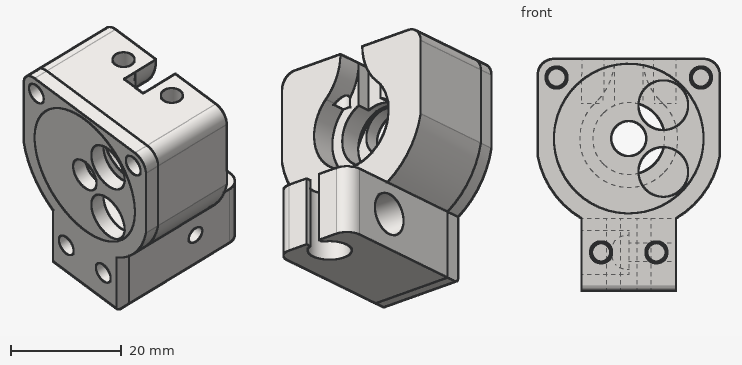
import cadquery as cq
import math

height = 42.0
body_width = 33.0
body_depth = 19.75
total_depth = 30.5
cover_thickness = 3.0
corner_radius = 3.0

axis_z = 27.55
body_radius = 16.8
clip_width = 17.18
clip_height = axis_z - math.sqrt(body_radius**2 - (clip_width / 2) ** 2)

disc_diameter = 27.1
shaft_hole_diameter = 6.3
port_diameter = 9.0
port_x = 6.25
port_offset_z = 6.05

pocket_diameter = disc_diameter
pocket_floor_y = 10.2
middle_bore_diameter = 13.0
rear_bore_radius = 8.85
rear_bore_depth = 5.1
slot_width = 5.15
slot_depth = 7.85

top_hole_diameter = 4.0
top_hole_x = 6.5
top_hole_rear_distance = 4.4
top_hole_depth = 8.15

screw_clearance_diameter = 4.0
screw_hole_diameter = 3.3
screw_hole_depth = 10.0
upper_screw_x = 13.05
upper_screw_z = 38.6
lower_screw_x = 5.0
lower_screw_z = 6.97
screw_points = [
    (-upper_screw_x, upper_screw_z),
    (upper_screw_x, upper_screw_z),
    (-lower_screw_x, lower_screw_z),
    (lower_screw_x, lower_screw_z),
]

rod_diameter = 8.0
rod_y = 25.75
clip_slit_width = 2.9
bolt_diameter = 3.3
bolt_recess_diameter = 8.0
bolt_recess_floor_x = 0.0
bolt_y = 19.25
bolt_z = lower_screw_z
bottom_edge_radius = 0.92


def front_plane(y):
    """Workplane at depth y with X to the right, Z up and extrusion toward -Y."""
    return cq.Workplane("XZ", origin=(0, y, 0))


def cylinder_y(diameter, points, y_start, y_end):
    """Cylinders along Y at the given (x, z) points."""
    return front_plane(y_end).pushPoints(points).circle(diameter / 2).extrude(y_end - y_start)


def cylinder_x(diameter, x_start, x_end):
    """Cylinder along X on the cross bolt axis."""
    plane = cq.Workplane("YZ", origin=(x_start, bolt_y, bolt_z))
    return plane.circle(diameter / 2).extrude(x_end - x_start)


def outline_block(y_start, y_end):
    """Body outline: rounded upper corners, round underside and a straight foot."""
    half_width = body_width / 2
    half_foot = clip_width / 2
    side_end_z = axis_z - math.sqrt(body_radius**2 - half_width**2)
    side_angle = math.acos(half_width / body_radius)
    foot_angle = math.acos(half_foot / body_radius)
    middle_angle = (side_angle + foot_angle) / 2
    middle_x = body_radius * math.cos(middle_angle)
    middle_z = axis_z - body_radius * math.sin(middle_angle)
    block = (
        front_plane(y_end)
        .moveTo(-half_width, height)
        .lineTo(half_width, height)
        .lineTo(half_width, side_end_z)
        .threePointArc((middle_x, middle_z), (half_foot, clip_height))
        .lineTo(half_foot, 0)
        .lineTo(-half_foot, 0)
        .lineTo(-half_foot, clip_height)
        .threePointArc((-middle_x, middle_z), (-half_width, side_end_z))
        .close()
        .extrude(y_end - y_start)
    )
    return block.edges("|Y and >Z").fillet(corner_radius)


def flared_slot():
    """Rear opening: round bore joined to the slot by convex arcs that start upright at the top."""
    half_slot = slot_width / 2
    rise = height - axis_z
    flare_radius = (half_slot**2 + rise**2 - rear_bore_radius**2) / (2 * (rear_bore_radius - half_slot))
    flare_x = half_slot + flare_radius
    tangent_angle = math.atan2(rise, flare_x)
    tangent_x = rear_bore_radius * math.cos(tangent_angle)
    tangent_z = axis_z + rear_bore_radius * math.sin(tangent_angle)
    middle_x = flare_x - flare_radius * math.cos(tangent_angle / 2)
    middle_z = height - flare_radius * math.sin(tangent_angle / 2)
    return (
        front_plane(body_depth)
        .moveTo(-half_slot, height)
        .lineTo(half_slot, height)
        .threePointArc((middle_x, middle_z), (tangent_x, tangent_z))
        .threePointArc((0, axis_z - rear_bore_radius), (-tangent_x, tangent_z))
        .threePointArc((-middle_x, middle_z), (-half_slot, height))
        .close()
        .extrude(rear_bore_depth)
    )


def top_slot():
    """Straight slot from the top face down into the middle bore."""
    rise = height - axis_z
    return cq.Workplane("XY").box(slot_width, slot_depth, rise, centered=(True, False, False)).translate(
        (0, body_depth - slot_depth, axis_z)
    )


def top_holes():
    hole_y = body_depth - top_hole_rear_distance
    return (
        cq.Workplane("XY", origin=(0, hole_y, height))
        .pushPoints([(-top_hole_x, 0), (top_hole_x, 0)])
        .circle(top_hole_diameter / 2)
        .extrude(-top_hole_depth)
    )


def rod_clip():
    """Foot block reaching behind the body, with rounded rear corners."""
    clip_depth = total_depth - cover_thickness
    return (
        cq.Workplane("XY", origin=(0, cover_thickness, 0))
        .box(clip_width, clip_depth, clip_height, centered=(True, False, False))
        .edges("|Z and >Y")
        .fillet(corner_radius)
    )


def rod_opening():
    """Vertical rod bore with a slit open to the rear."""
    bore = cq.Workplane("XY", origin=(0, rod_y, 0)).circle(rod_diameter / 2).extrude(clip_height)
    slit = cq.Workplane("XY", origin=(0, rod_y, 0)).box(
        clip_slit_width, total_depth - rod_y, clip_height, centered=(True, False, False)
    )
    return bore.union(slit)


def make_housing():
    half_clip = clip_width / 2
    housing = outline_block(cover_thickness, body_depth).union(rod_clip())
    housing = housing.cut(cylinder_y(pocket_diameter, [(0, axis_z)], cover_thickness, pocket_floor_y))
    housing = housing.cut(cylinder_y(middle_bore_diameter, [(0, axis_z)], cover_thickness, body_depth))
    housing = housing.cut(flared_slot())
    housing = housing.cut(top_slot())
    housing = housing.cut(top_holes())
    housing = housing.cut(rod_opening())
    housing = housing.cut(cylinder_x(bolt_diameter, -half_clip, half_clip))
    housing = housing.cut(cylinder_x(bolt_recess_diameter, -half_clip, bolt_recess_floor_x))
    screw_end_y = cover_thickness + screw_hole_depth
    return housing.cut(cylinder_y(screw_hole_diameter, screw_points, cover_thickness, screw_end_y))


def make_cover():
    cover = outline_block(0, cover_thickness)
    cover = cover.edges("<Y and <Z").fillet(bottom_edge_radius)
    cover = cover.cut(cylinder_y(disc_diameter, [(0, axis_z)], 0, cover_thickness))
    return cover.cut(cylinder_y(screw_clearance_diameter, screw_points, 0, cover_thickness))


def make_disc():
    port_points = [(port_x, axis_z - port_offset_z), (port_x, axis_z + port_offset_z)]
    disc = cylinder_y(disc_diameter, [(0, axis_z)], 0, cover_thickness)
    disc = disc.cut(cylinder_y(shaft_hole_diameter, [(0, axis_z)], 0, cover_thickness))
    return disc.cut(cylinder_y(port_diameter, port_points, 0, cover_thickness))


housing = make_housing()
cover = make_cover()
disc = make_disc()

result = cq.Compound.makeCompound([housing.val(), cover.val(), disc.val()])